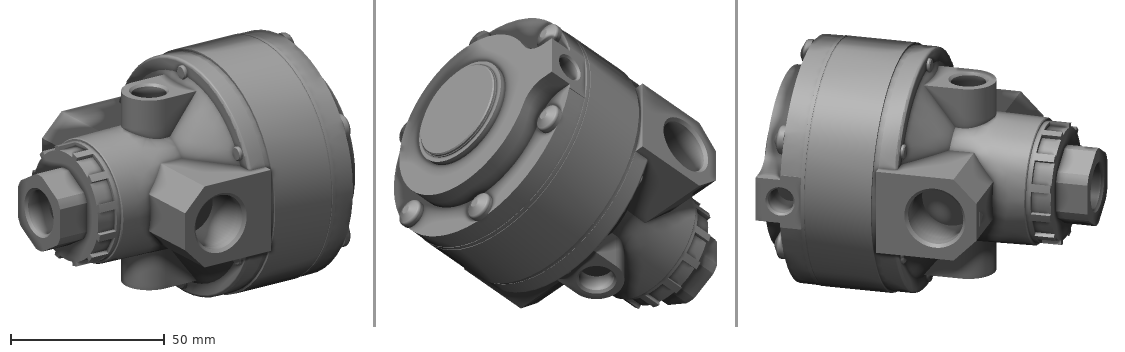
import cadquery as cq
import math


plug_back_y = 64.5
plug_step_y = 63.4
plug_base_y = 62.9
boss_back_y = 60.8
cap_back_y = 52.5
cap_front_y = 45.45
ring_front_y = 21.6
flange_back_y = 19.9
flange_front_y = 13.6
cone_front_y = 2.0
neck_front_y = -24.9
collar_wall_y = -26.5
collar_front_y = -32.9
hex_front_y = -43.5

plug_d = 33.7
plug_step_d = 34.16
plug_chamfer = 0.4
plug_collar_d = 37.6
boss_d = 60.0
cap_back_d = 81.5
cap_front_d = 81.7
ring_d = 82.0
gap_d = 80.5
flange_d = 80.7
flange_fillet_r = 1.0
cone_back_d = 71.2
cone_front_d = 43.0
neck_front_d = 41.9
neck_chamfer = 0.3
collar_d = 40.0

groove_y = 44.05
groove_width = 0.45
groove_depth = 0.2

pocket_count = 12
pocket_floor_d = 37.2
pocket_floor_width = 7.3
pocket_mouth_width = 8.0
pocket_overcut = 0.2

hex_flats = 24.3
hex_corner_d = 26.3

block_length = 82.0
block_height = 28.3
block_front_y = -14.0
block_chamfer = 7.7

gauge_boss_width = 18.2
gauge_boss_height = 66.2

signal_face_x = -40.0
signal_boss_width = 15.0
signal_rim_width = 18.2
signal_blend_r = 10.0

line_port_d = 18.63
line_mouth_d = 20.6
line_port_depth = 18.0
gauge_port_d = 11.45
gauge_mouth_d = 13.1
gauge_port_depth = 7.0
signal_port_d = 8.57
signal_mouth_d = 9.9
signal_port_depth = 12.0
nut_port_d = 14.95
nut_mouth_d = 16.7
nut_port_depth = 9.0

screw_count = 6
screw_circle_r = 36.5
head_d = 9.5
head_rim_height = 1.2
head_height = 3.8
head_shoulder_height = 2.5
head_shoulder_d = 8.0
head_top_d = 3.0
tip_d = 4.8
tip_length = 1.1
tip_chamfer = 0.4

arrow_base_x = -38.0
arrow_length = 4.4
arrow_width = 5.2
arrow_height = 0.25


def cylinder_y(diameter, y_start, y_end, x=0.0, z=0.0):
    """Cylinder along Y between two stations."""
    base = cq.Workplane("XZ", origin=(x, y_start, z)).circle(diameter / 2)
    return base.extrude(y_start - y_end)


def turned_housing():
    """Plug, cap, ring, flange, cone, neck and collar in one revolved profile."""
    plug_r = plug_d / 2
    groove_floor_r = ring_d / 2 - groove_depth
    groove_half = groove_width / 2
    fillet_lag = flange_fillet_r * (1 - math.cos(math.pi / 4))
    back_outline = [
        (0, plug_back_y),
        (plug_r - plug_chamfer, plug_back_y),
        (plug_r, plug_back_y - plug_chamfer),
        (plug_r, plug_step_y),
        (plug_step_d / 2, plug_step_y),
        (plug_step_d / 2, plug_base_y),
        (plug_collar_d / 2, plug_base_y),
        (plug_collar_d / 2, boss_back_y),
        (boss_d / 2, boss_back_y),
        (boss_d / 2, cap_back_y),
        (cap_back_d / 2, cap_back_y),
        (cap_front_d / 2, cap_front_y),
        (ring_d / 2, cap_front_y),
        (ring_d / 2, groove_y + groove_half),
        (groove_floor_r, groove_y + groove_half),
        (groove_floor_r, groove_y - groove_half),
        (ring_d / 2, groove_y - groove_half),
        (ring_d / 2, ring_front_y),
        (gap_d / 2, ring_front_y),
        (gap_d / 2, flange_back_y),
        (flange_d / 2, flange_back_y),
        (flange_d / 2, flange_front_y + flange_fillet_r),
    ]
    fillet_middle = (flange_d / 2 - fillet_lag, flange_front_y + fillet_lag)
    fillet_end = (flange_d / 2 - flange_fillet_r, flange_front_y)
    front_outline = [
        (cone_back_d / 2, flange_front_y),
        (cone_front_d / 2, cone_front_y),
        (neck_front_d / 2, neck_front_y + neck_chamfer),
        (neck_front_d / 2 - neck_chamfer, neck_front_y),
        (collar_d / 2, neck_front_y),
        (collar_d / 2, collar_front_y),
        (0, collar_front_y),
    ]
    return (
        cq.Workplane("XY")
        .polyline(back_outline)
        .threePointArc(fillet_middle, fillet_end)
        .polyline(front_outline, includeCurrent=True)
        .close()
        .revolve(360, (0, 0, 0), (0, 1, 0))
    )


def signal_port_boss():
    """Flat-faced boss beside the cap, blended into the round cap boss."""
    boss_r = boss_d / 2
    half_width = signal_boss_width / 2
    blend_z = half_width + signal_blend_r
    blend_x = -math.sqrt((boss_r + signal_blend_r) ** 2 - blend_z ** 2)
    touch_ratio = boss_r / (boss_r + signal_blend_r)
    touch = (blend_x * touch_ratio, blend_z * touch_ratio)
    touch_angle = math.atan2(touch[1] - blend_z, touch[0] - blend_x)
    middle_angle = (touch_angle - math.pi / 2) / 2
    middle = (
        blend_x + signal_blend_r * math.cos(middle_angle),
        blend_z + signal_blend_r * math.sin(middle_angle),
    )
    return (
        cq.Workplane("XZ", origin=(0, boss_back_y, 0))
        .moveTo(signal_face_x, half_width)
        .lineTo(blend_x, half_width)
        .threePointArc(middle, touch)
        .lineTo(0, 0)
        .lineTo(touch[0], -touch[1])
        .threePointArc((middle[0], -middle[1]), (blend_x, -half_width))
        .lineTo(signal_face_x, -half_width)
        .close()
        .extrude(boss_back_y - cap_back_y)
    )


def signal_face_cut():
    """Slab that flattens the cap rim flush with the signal port face."""
    slab_x = ring_d
    return (
        cq.Workplane("XY")
        .box(slab_x, cap_back_y - cap_front_y, ring_d, centered=(False, False, True))
        .translate((signal_face_x - slab_x, cap_front_y, 0))
    )


def signal_rim_pad():
    """Square-sided pad that carries the signal port face across the cap rim."""
    return (
        cq.Workplane("XY")
        .box(-signal_face_x, cap_back_y - cap_front_y, signal_rim_width, centered=(False, False, True))
        .translate((signal_face_x, cap_front_y, 0))
    )


def line_port_block():
    """Block across the body with both front edges bevelled."""
    return (
        cq.Workplane("XY")
        .box(block_length, flange_back_y - block_front_y, block_height, centered=(True, False, True))
        .translate((0, block_front_y, 0))
        .faces("<Y")
        .edges("|X")
        .chamfer(block_chamfer)
    )


def gauge_port_bosses():
    """Round-nosed bar along Z carrying a gauge port at each end."""
    nose = cq.Workplane("XY").circle(gauge_boss_width / 2).extrude(gauge_boss_height / 2, both=True)
    web = cq.Workplane("XY").box(
        gauge_boss_width, flange_front_y, gauge_boss_height, centered=(True, False, True)
    )
    return nose.union(web)


def grip_pockets():
    """Open-fronted pockets spaced evenly around the collar."""
    floor_r = pocket_floor_d / 2
    floor_half = pocket_floor_width / 2
    floor_edge_z = math.sqrt(floor_r ** 2 - floor_half ** 2)
    mouth_z = collar_d / 2 + pocket_overcut
    length = collar_wall_y - collar_front_y
    wedge = (
        cq.Workplane("XZ", origin=(0, collar_wall_y, 0))
        .moveTo(-pocket_mouth_width / 2, mouth_z)
        .lineTo(pocket_mouth_width / 2, mouth_z)
        .lineTo(floor_half, floor_edge_z)
        .threePointArc((0, floor_r), (-floor_half, floor_edge_z))
        .close()
        .extrude(length)
    )
    pockets = cq.Workplane("XY")
    for index in range(pocket_count):
        pockets = pockets.add(wedge.rotate((0, 0, 0), (0, 1, 0), index * 360 / pocket_count))
    return pockets.combine()


def hex_nut():
    """Hexagon with two flats facing X and its corners turned to a cylinder."""
    across_corners = hex_flats / math.cos(math.pi / 6)
    hexagon = (
        cq.Workplane("XZ", origin=(0, collar_front_y, 0))
        .polygon(6, across_corners)
        .extrude(collar_front_y - hex_front_y)
        .rotate((0, 0, 0), (0, 1, 0), 30)
    )
    return hexagon.intersect(cylinder_y(hex_corner_d, collar_front_y, hex_front_y))


def screw(x, z):
    """Domed head behind the cap and bevelled tip in front of the flange."""
    rim_y = cap_back_y + head_rim_height
    shoulder_y = cap_back_y + head_shoulder_height
    top_y = cap_back_y + head_height
    rim_run = (head_d - head_shoulder_d) / 2
    rim_rise = shoulder_y - rim_y
    rim_middle = (
        head_shoulder_d / 2 + rim_run * math.cos(math.pi / 4),
        rim_y + rim_rise * math.sin(math.pi / 4),
    )
    head = (
        cq.Workplane("XY")
        .moveTo(0, cap_back_y)
        .lineTo(head_d / 2, cap_back_y)
        .lineTo(head_d / 2, rim_y)
        .threePointArc(rim_middle, (head_shoulder_d / 2, shoulder_y))
        .lineTo(head_top_d / 2, top_y)
        .lineTo(0, top_y)
        .close()
        .revolve(360, (0, 0, 0), (0, 1, 0))
        .translate((x, 0, z))
    )
    tip = cylinder_y(tip_d, flange_back_y, flange_front_y - tip_length, x, z)
    return head, tip.faces("<Y").edges().chamfer(tip_chamfer)


def port(bore_d, mouth_d, depth, face_point, inward):
    """Blind bore with a 45 degree mouth, running inward from a face point."""
    plane = cq.Plane(origin=face_point, normal=inward)
    mouth_depth = (mouth_d - bore_d) / 2
    bore = cq.Workplane(plane).circle(bore_d / 2).extrude(depth)
    mouth = cq.Workplane(plane).circle(mouth_d / 2).extrude(mouth_depth, taper=45)
    return bore.union(mouth)


def flow_arrow():
    """Raised triangle pointing along +X."""
    return (
        cq.Workplane("XZ", origin=(0, block_front_y, 0))
        .moveTo(arrow_base_x, arrow_width / 2)
        .lineTo(arrow_base_x, -arrow_width / 2)
        .lineTo(arrow_base_x + arrow_length, 0)
        .close()
        .extrude(arrow_height)
    )


result = turned_housing().cut(grip_pockets())
result = result.cut(signal_face_cut())
result = result.union(signal_rim_pad())
result = result.union(signal_port_boss())
result = result.union(line_port_block())
result = result.union(gauge_port_bosses())
result = result.union(hex_nut())
result = result.union(flow_arrow())

for index in range(screw_count):
    angle = math.pi / 2 + index * 2 * math.pi / screw_count
    for piece in screw(screw_circle_r * math.cos(angle), screw_circle_r * math.sin(angle)):
        result = result.union(piece)

for side in (-1, 1):
    line_face = (side * block_length / 2, 0, 0)
    result = result.cut(port(line_port_d, line_mouth_d, line_port_depth, line_face, (-side, 0, 0)))
    gauge_face = (0, 0, side * gauge_boss_height / 2)
    result = result.cut(port(gauge_port_d, gauge_mouth_d, gauge_port_depth, gauge_face, (0, 0, -side)))
signal_face = (signal_face_x, cap_back_y, 0)
result = result.cut(port(signal_port_d, signal_mouth_d, signal_port_depth, signal_face, (1, 0, 0)))
nut_face = (0, hex_front_y, 0)
result = result.cut(port(nut_port_d, nut_mouth_d, nut_port_depth, nut_face, (0, 1, 0)))